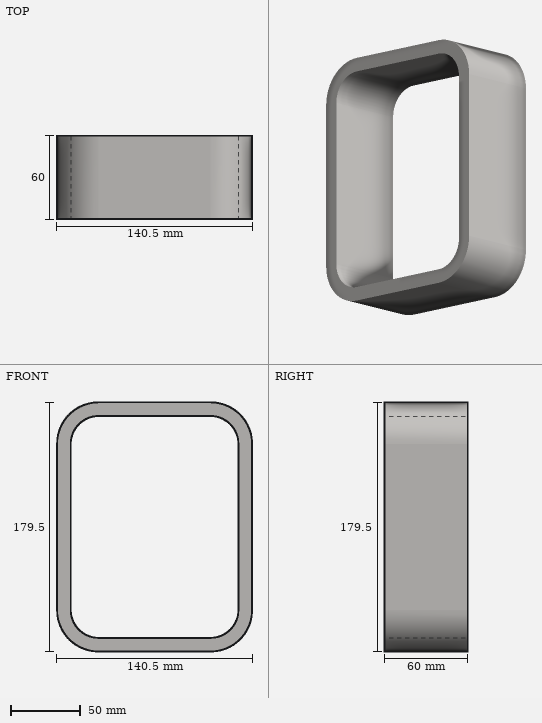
import cadquery as cq

width = 140.5
depth = 60.0
height = 179.5
wall = 10.0
outer_radius = 30.0
inner_radius = outer_radius - wall


def rounded_block(size_x, size_z, corner_radius):
    """Centred block along Y whose four corners in the XZ plane are rounded."""
    return cq.Workplane("XY").box(size_x, depth, size_z).edges("|Y").fillet(corner_radius)


outer = rounded_block(width, height, outer_radius)
opening = rounded_block(width - 2 * wall, height - 2 * wall, inner_radius)

result = outer.cut(opening)